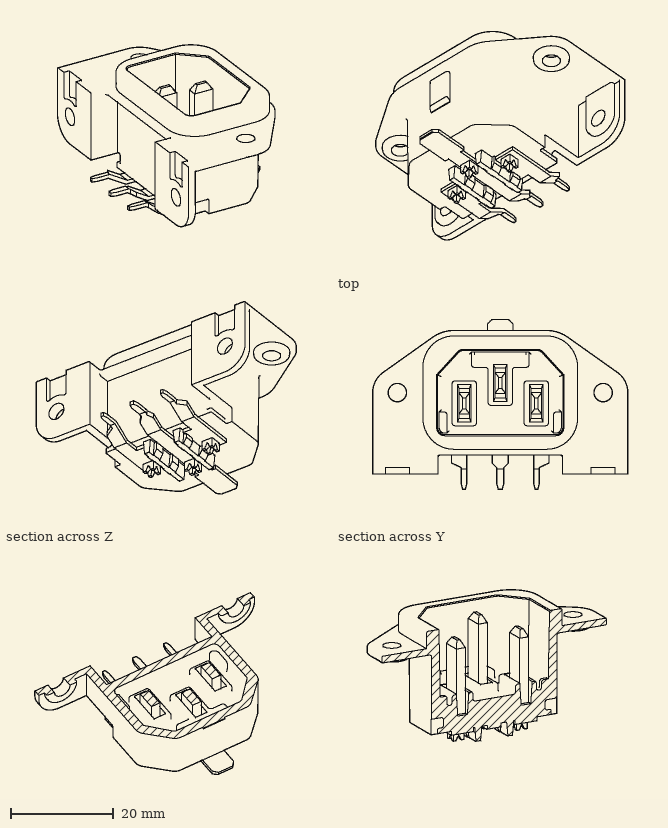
import cadquery as cq
import math


width = 49.6
flange_thickness = 1.5
flange_back = 12.1
edge_round = 0.3
corner_centre = (9.0, 4.95)
screw_x = 20.0
screw_diameter = 3.5
screw_boss_radius = 3.5

rim_height = 3.5
rim_corner = 6.05
rim_round = 0.55

ear_front = -15.8
ear_thickness = 1.55
ear_bottom = -14.7
ear_inner_x = 12.05
ear_screw_z = -8.7
ear_boss_depth = 0.9
boss_round = 0.45
notch_y = -12.15
notch_round = 0.35
slot_width = 4.65
slot_depth = 1.25
slot_arc_radius = 3.55
slot_corner = 0.45

body_half_width = 13.9
body_back = 10.1
body_front = -9.8
body_bottom = -17.9
root_fillet = 0.45

cavity_half_width = 12.35
cavity_front = -8.4
cavity_back = 8.4
cavity_floor = -12.4
cavity_draft = 1.2
cavity_lip = 0.2
tower_height = 2.0
tower_size = (4.7, 8.75)
tower_corner = 0.6
base_fillet = 0.45

contact_x = 7.0
outer_contact_y = -2.1
ground_contact_y = 1.9
contact_places = [(-contact_x, outer_contact_y), (0, ground_contact_y), (contact_x, outer_contact_y)]
outer_blade_tip = 0.0
ground_blade_tip = 2.85

terminal_thickness = 0.8
terminal_back = 14.25
terminal_front = -18.8
terminal_lift = 2.35
head_half_width = 2.5
peg_x = 3.5
peg_bottom = -20.8

reach = 0.25
outer_half_width = width / 2
tower_top = cavity_floor + tower_height
terminal_bottom = body_bottom - terminal_thickness


def box(x_range, y_range, z_range):
    """Axis-aligned block spanning the given ranges."""
    size = [abs(end - start) for start, end in (x_range, y_range, z_range)]
    corner = [min(span) for span in (x_range, y_range, z_range)]
    return cq.Workplane("XY").box(*size, centered=False).translate(tuple(corner))


def prism(points, z_low, z_high):
    """Upright prism over a polygon."""
    return cq.Workplane("XY").workplane(offset=z_low).polyline(points).close().extrude(z_high - z_low)


def frustum(centre, low_size, z_low, high_size, z_high):
    """Rectangular tapered block between two levels."""
    base = cq.Workplane("XY", origin=(*centre, z_low)).rect(*low_size)
    return base.workplane(offset=z_high - z_low).rect(*high_size).loft(combine=True)


def both_sides(solid):
    """A solid together with its mirror image across X = 0."""
    return solid.union(solid.mirror("YZ"))


def make_flange():
    side_radius = outer_half_width - screw_x
    back_x, back_y = corner_centre
    back_radius = flange_back - back_y
    span_x = screw_x - back_x
    centre_angle = math.atan2(back_y, span_x)
    centre_gap = math.hypot(span_x, back_y)
    slant = centre_angle + math.asin((back_radius - side_radius) / centre_gap)

    def on_arc(centre, radius, angle_from_y):
        return (centre[0] + radius * math.sin(angle_from_y), centre[1] + radius * math.cos(angle_from_y))

    side_centre = (screw_x, 0)
    side_middle = (slant + math.pi / 2) / 2
    half = (
        cq.Workplane("XY")
        .moveTo(0, notch_y)
        .lineTo(ear_inner_x, notch_y)
        .lineTo(ear_inner_x, ear_front)
        .lineTo(outer_half_width, ear_front)
        .lineTo(outer_half_width, 0)
        .threePointArc(on_arc(side_centre, side_radius, side_middle), on_arc(side_centre, side_radius, slant))
        .lineTo(*on_arc(corner_centre, back_radius, slant))
        .threePointArc(on_arc(corner_centre, back_radius, slant / 2), (back_x, flange_back))
        .lineTo(0, flange_back)
        .close()
        .extrude(-flange_thickness)
    )
    front_edges = cq.selectors.BoxSelector(
        (-width, ear_front - reach, -width), (width, ear_front + reach, width)
    )
    plate = both_sides(half)
    notch_corners = cq.selectors.BoxSelector(
        (-ear_inner_x - reach, notch_y - reach, -width), (ear_inner_x + reach, notch_y + reach, width)
    )
    plate = plate.edges("|Z").edges(notch_corners).fillet(notch_round)
    return plate.faces("|Z").edges(cq.selectors.InverseSelector(front_edges)).fillet(edge_round)


def make_rim():
    back_x, back_y = corner_centre
    rim = cq.Workplane("XY").rect(2 * (back_x + rim_corner), 2 * (back_y + rim_corner))
    rim = rim.extrude(rim_height).edges("|Z").fillet(rim_corner)
    return rim.faces(">Z").edges().fillet(rim_round)


def make_body():
    """Body under the flange, drafted at the back, running forward as side walls to the ears."""
    clip_length = 5.45
    back_draft = 0.25
    corner_round = 2.3

    def outline(back):
        clip_y = back - clip_length
        clip_x = body_half_width - clip_length
        return [(body_half_width, body_front), (body_half_width, clip_y), (clip_x, back), (-clip_x, back),
                (-body_half_width, clip_y), (-body_half_width, body_front)]

    base = cq.Workplane("XY").workplane(offset=body_bottom).polyline(outline(body_back - back_draft)).close()
    top_level = base.workplane(offset=-edge_round - body_bottom)
    body = top_level.polyline(outline(body_back)).close().loft(ruled=True, combine=True)
    corners = cq.selectors.BoxSelector((-width, 0, body_bottom + reach), (width, width, -edge_round - reach))
    body = body.edges(corners).fillet(corner_round)
    side_wall = box((ear_inner_x, body_half_width), (ear_front, body_front), (ear_bottom, -edge_round))
    return body.union(both_sides(side_wall))


def add_flange(body):
    """Join the flange and round the inside corner along the back and sides of the body."""
    joined = body.union(make_flange())
    root = cq.selectors.BoxSelector(
        (-body_half_width - reach, body_front + reach, -flange_thickness - reach),
        (body_half_width + reach, body_back + reach, -flange_thickness + reach),
    )
    return joined.edges(root).fillet(root_fillet)


def make_latch_rib():
    rib_half_width = 2.5
    rib_back = 10.7
    rib_round = 0.5
    ramp_top = -7.8
    ramp_bottom = -8.95
    profile = [(0, -edge_round), (rib_back, -edge_round), (rib_back, ramp_top), (body_back, ramp_bottom),
               (0, ramp_bottom)]
    rib = cq.Workplane("YZ").polyline(profile).close().extrude(rib_half_width, both=True)
    return rib.edges("|Z").edges(">Y").fillet(rib_round)


def cut_snap_recesses(body):
    """Undercut lips at the lower front corners of the body."""
    recess_back = -4.7
    neck_x = 11.25
    lip_x = 12.55
    lip_top = -16.75
    lip_round = 0.35
    edge_tolerance = 0.05
    recess_round = 0.3
    profile = [(neck_x, ear_bottom), (body_half_width, ear_bottom), (body_half_width, body_bottom),
               (lip_x, body_bottom), (lip_x, lip_top), (neck_x, lip_top)]
    recess = cq.Workplane("XZ", origin=(0, recess_back, 0)).polyline(profile).close()
    recess = recess.extrude(recess_back - notch_y)
    rounded = cq.selectors.BoxSelector(
        (neck_x - reach, notch_y - reach, lip_top - reach), (lip_x + reach, 0, ear_bottom + reach)
    )
    recess = recess.edges("|Y").edges(rounded).fillet(lip_round)
    recess = recess.faces(">Y").edges("<X").fillet(recess_round)
    body = body.cut(both_sides(recess))
    front_edges = cq.selectors.BoxSelector(
        (-lip_x - reach, body_front - edge_tolerance, body_bottom + edge_tolerance),
        (lip_x + reach, body_front + edge_tolerance, ear_bottom - edge_tolerance),
    )
    return body.edges(front_edges).fillet(recess_round)


def make_ears():
    ear_corner = outer_half_width - screw_x
    plate = box((ear_inner_x, outer_half_width), (ear_front, ear_front + ear_thickness), (ear_bottom, -edge_round))
    plate = plate.edges("|Y").edges(">X and <Z").fillet(ear_corner)
    boss_back = ear_front + ear_thickness + ear_boss_depth
    round_boss = cq.Workplane("XZ", origin=(screw_x, boss_back, ear_screw_z)).circle(screw_boss_radius)
    backing = box(
        (screw_x - screw_boss_radius, screw_x + screw_boss_radius),
        (ear_front + edge_round, boss_back),
        (ear_screw_z, -edge_round),
    )
    boss = round_boss.extrude(boss_back - ear_front - edge_round).union(backing)
    boss = boss.faces(">Y").edges("not >Z").fillet(boss_round)
    return both_sides(plate.union(boss))


def make_flange_bosses():
    boss_height = 0.9
    boss = cq.Workplane("XY", origin=(screw_x, 0, -edge_round)).circle(screw_boss_radius)
    boss = boss.extrude(-(flange_thickness - edge_round + boss_height))
    return both_sides(boss.faces("<Z").edges().fillet(boss_round))


def make_ear_cuts():
    """Screw holes through the flange and ears, and the nut slots down the ear fronts."""
    flange_hole = cq.Workplane("XY", origin=(screw_x, 0, -width / 2)).circle(screw_diameter / 2).extrude(width)
    ear_hole = cq.Workplane("XZ", origin=(screw_x, notch_y, ear_screw_z)).circle(screw_diameter / 2)
    slot = box(
        (screw_x - slot_width / 2, screw_x + slot_width / 2),
        (ear_front, ear_front + slot_depth),
        (ear_screw_z, 0),
    )
    stop = cq.Workplane("XZ", origin=(screw_x, 0, ear_screw_z)).circle(slot_arc_radius).extrude(width / 2)
    slot = slot.cut(stop).edges("|Y").edges("<Z").fillet(slot_corner)
    return both_sides(flange_hole.union(ear_hole.extrude(width)).union(slot))


def cavity_outline(inset):
    """Rounded cavity outline with clipped back corners, shrunk by an inset."""
    clip_x = 7.85
    clip_y = 3.45
    front_round = 1.6
    clip_round = 1.25
    clip_inset = inset * math.tan(math.pi / 8)
    side = cavity_half_width - inset
    front = cavity_front + inset
    back = cavity_back - inset
    points = [(-side, front), (side, front), (side, clip_y - clip_inset), (clip_x - clip_inset, back),
              (clip_inset - clip_x, back), (-side, clip_y - clip_inset), (-side, front)]
    sketch = cq.Sketch().polygon(points)
    sketch = sketch.vertices("<Y").fillet(front_round - inset).reset()
    return sketch.vertices(">Y").fillet(clip_round).reset()


def make_cavity():
    """Drafted socket space around the contact towers, with a bevelled mouth."""
    depth = rim_height - cavity_floor
    mouth_angle = 45
    core = cq.Workplane("XY").workplane(offset=rim_height).placeSketch(cavity_outline(cavity_lip))
    core = core.extrude(-depth, taper=cavity_draft)
    core = core.faces("<Z").edges().fillet(base_fillet)
    mouth_top = cq.Workplane("XY").workplane(offset=rim_height).placeSketch(cavity_outline(0))
    mouth = mouth_top.extrude(-cavity_lip, taper=mouth_angle)
    return core.union(mouth).cut(make_towers())


def make_towers():
    """Floor block with rounded contact towers, a bridge at the back and two pads at the front corners."""
    tower_x, tower_y = tower_size
    bridge_half_width = 5.6
    bridge_front = 4.9
    pad_x = 10.35
    pad_back = -3.7

    def upright(x_range, y_range):
        return box(x_range, y_range, (cavity_floor, tower_top))

    outer = upright((contact_x - tower_x / 2, contact_x + tower_x / 2),
                    (outer_contact_y - tower_y / 2, outer_contact_y + tower_y / 2))
    pad = upright((pad_x, body_half_width), (body_front, pad_back))
    stem = upright((-tower_x / 2, tower_x / 2), (ground_contact_y - tower_y / 2, body_back))
    bridge = upright((-bridge_half_width, bridge_half_width), (bridge_front, body_back))
    towers = both_sides(outer.union(pad)).union(stem.union(bridge))
    towers = towers.edges("|Z").fillet(tower_corner).faces(">Z").edges().fillet(tower_corner)
    draft_run = (rim_height - tower_top) * math.tan(math.radians(cavity_draft))
    round_start = cavity_back - cavity_lip - draft_run - base_fillet
    joint_half = bridge_half_width - tower_corner
    joint = box((-joint_half, joint_half), (round_start, body_back), (tower_top, tower_top + base_fillet))
    hollow = cq.Workplane("YZ", origin=(-joint_half, round_start, tower_top + base_fillet)).circle(base_fillet)
    towers = towers.union(joint.cut(hollow.extrude(2 * joint_half)))
    ground = box((-width, width), (-width, width), (cavity_floor - flange_thickness, cavity_floor))
    towers = towers.union(ground)
    floor_spot = cq.selectors.NearestToPointSelector((0, 0, cavity_floor))
    return towers.faces(floor_spot).edges("not(>X or <X or >Y or <Y)").fillet(base_fillet)


def make_contact_slots():
    """Tapered wells in the tower tops."""
    mouth = (2.65, 7.25)
    bottom = (2.05, 5.8)
    well_depth = 4.45
    wells = [frustum(c, bottom, tower_top - well_depth, mouth, tower_top) for c in contact_places]
    return wells[0].union(wells[1]).union(wells[2])


def make_blade(centre, tip_z):
    """Flat contact pin with a four-sided pointed tip."""
    blade = (2.0, 4.1)
    tip = (0.65, 2.15)
    tip_length = 1.45
    shoulder = tip_z - tip_length
    blade_x, blade_y = blade
    x, y = centre
    root = box((x - blade_x / 2, x + blade_x / 2), (y - blade_y / 2, y + blade_y / 2),
               (body_bottom, shoulder))
    return root.union(frustum(centre, blade, shoulder, tip, tip_z))


def make_tail(centre):
    """Square contact tail under the body, notched into four prongs."""
    tail_width = 2.4
    tail_bottom = -20.55
    notch_half_width = 0.6
    notch_height = 1.1
    x, y = centre
    half = tail_width / 2
    tail = box((x - half, x + half), (y - half, y + half), (tail_bottom, body_bottom))
    notch = [(-notch_half_width, tail_bottom), (0, tail_bottom + notch_height), (notch_half_width, tail_bottom)]
    for plane in ("XZ", "YZ"):
        groove = cq.Workplane(plane).polyline(notch).close().extrude(tail_width, both=True)
        tail = tail.cut(groove.translate((x, y, 0)))
    return tail


def terminal_profile():
    """Bent strip seen from the side, spanning the whole part."""
    bend_start = -10.9
    bend_end = -14.9
    bend_shift = 0.35
    tip_length = 0.9
    top_bevel = 0.1
    bottom_bevel = 0.15
    points = [
        (terminal_front, terminal_bottom + terminal_lift),
        (bend_end - bend_shift, terminal_bottom + terminal_lift),
        (bend_start - bend_shift, terminal_bottom),
        (terminal_back - bottom_bevel, terminal_bottom),
        (terminal_back, terminal_bottom + bottom_bevel),
        (terminal_back, body_bottom - top_bevel),
        (terminal_back - tip_length, body_bottom),
        (bend_start, body_bottom),
        (bend_end, body_bottom + terminal_lift),
        (terminal_front, body_bottom + terminal_lift),
    ]
    return cq.Workplane("YZ").polyline(points).close().extrude(width / 2, both=True)


def strip(plan):
    """The part of the bent strip that lies over a plan outline."""
    return terminal_profile().intersect(prism(plan, peg_bottom, ear_bottom))


def make_terminals():
    shoulder_start = -13.7
    shoulder_end = -14.6
    point_start = -17.75

    tab_end = 1.6
    tab_bevel = 0.9
    head_front = 6.05
    neck = 1.6
    pin = 0.7
    point = 0.4
    right_side = [
        (tab_end, terminal_back),
        (head_half_width, terminal_back - tab_bevel),
        (head_half_width, head_front),
        (neck, head_front),
        (neck, shoulder_start),
        (pin, shoulder_end),
        (pin, point_start),
        (point, terminal_front),
    ]
    left_side = [(-x, y) for x, y in reversed(right_side)]
    ground = strip(right_side + left_side)

    head_back = -0.3
    outer_head_front = -7.95
    inner_edge = 6.5
    outer_edge = contact_x + head_half_width
    pin_edge = 7.6
    point_inset = 0.25
    outer = strip([
        (contact_x - head_half_width, head_back),
        (outer_edge, head_back),
        (outer_edge, shoulder_start),
        (pin_edge, shoulder_end),
        (pin_edge, point_start),
        (pin_edge - point_inset, terminal_front),
        (inner_edge + point_inset, terminal_front),
        (inner_edge, point_start),
        (inner_edge, outer_head_front),
        (contact_x - head_half_width, outer_head_front),
    ])
    return ground.union(both_sides(outer))


def make_pegs():
    """Thin tapered bars with two wider pointed bumps each."""
    bar_y = (-8.7, 3.1)
    bar_top = 0.85
    bar_tip = 0.55
    bump_half_width = 1.4
    bump_tip = 0.7
    bump_shoulder = -19.6
    bump_length = 2.1
    bump_fronts = (-7.35, -2.05)

    def bar(half_section, y_range):
        outline = half_section + [(-x, z) for x, z in reversed(half_section)]
        front, back = y_range
        solid = cq.Workplane("XZ", origin=(0, back, 0)).polyline(outline).close().extrude(back - front)
        return solid.translate((peg_x, 0, 0))

    peg = bar([(bar_top, body_bottom), (bar_tip, peg_bottom)], bar_y)
    bump = [(bump_half_width, body_bottom), (bump_half_width, bump_shoulder), (bump_tip, peg_bottom)]
    for front in bump_fronts:
        peg = peg.union(bar(bump, (front, front + bump_length)))
    return both_sides(peg)


housing = add_flange(make_body()).union(make_latch_rib())
housing = housing.union(make_ears()).union(make_flange_bosses()).union(make_rim())
housing = cut_snap_recesses(housing)
result = housing.cut(make_cavity()).cut(make_contact_slots()).cut(make_ear_cuts())
for place in contact_places:
    blade_tip = ground_blade_tip if place[0] == 0 else outer_blade_tip
    result = result.union(make_blade(place, blade_tip)).union(make_tail(place))
result = result.union(make_terminals()).union(make_pegs())